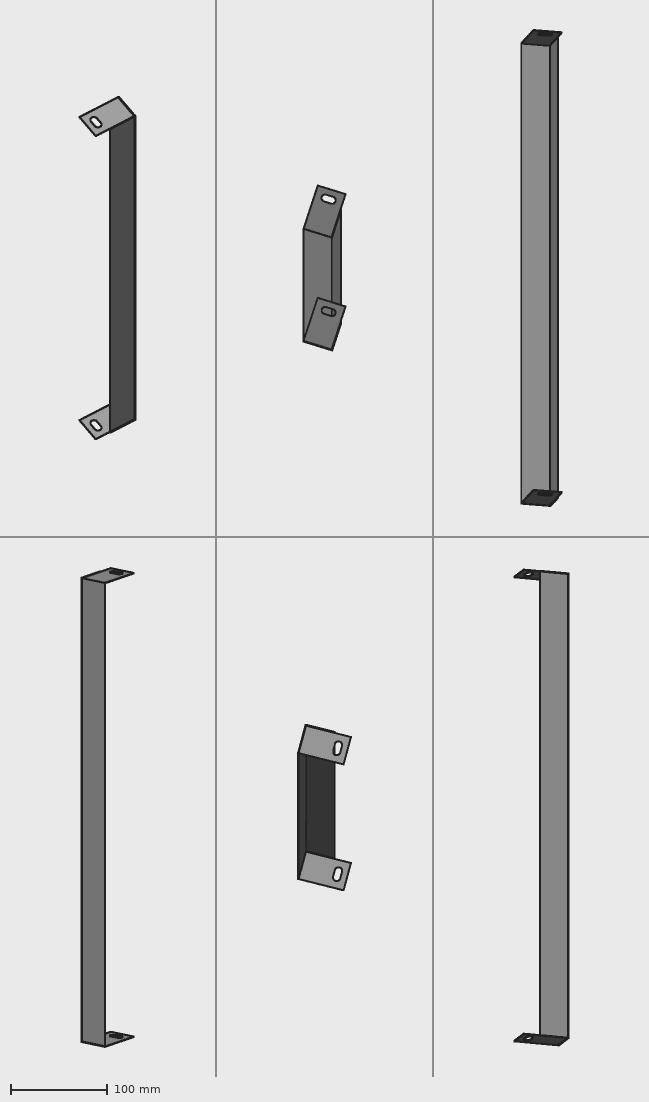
import cadquery as cq

length = 501.5
width = 31.5
flange_depth = 49.0
side_depth = 31.5

sheet = 0.8
corner_gap = 0.25

slot_length = 15
slot_width = 7.5
slot_edge_distance = 10.5

flange_width = width - sheet - corner_gap


def block(x_size, y_size, z_size, x=0, y=0, z=0):
    """Box whose lowest corner is at (x, y, z)."""
    return cq.Workplane("XY").box(x_size, y_size, z_size, centered=False).translate((x, y, z))


def end_flange(z):
    """Slotted end flange with its underside at height z."""
    plate = block(flange_width, flange_depth, sheet, z=z)
    slot = (
        cq.Workplane("XY", origin=(flange_width / 2, slot_edge_distance, z))
        .slot2D(slot_length, slot_width)
        .extrude(sheet)
    )
    return plate.cut(slot)


back_wall = block(width, sheet, length, y=flange_depth - sheet)
side_wall = block(sheet, side_depth, length, x=width - sheet, y=flange_depth - side_depth)
angle = back_wall.union(side_wall)

result = angle.union(end_flange(0)).union(end_flange(length - sheet)).clean()